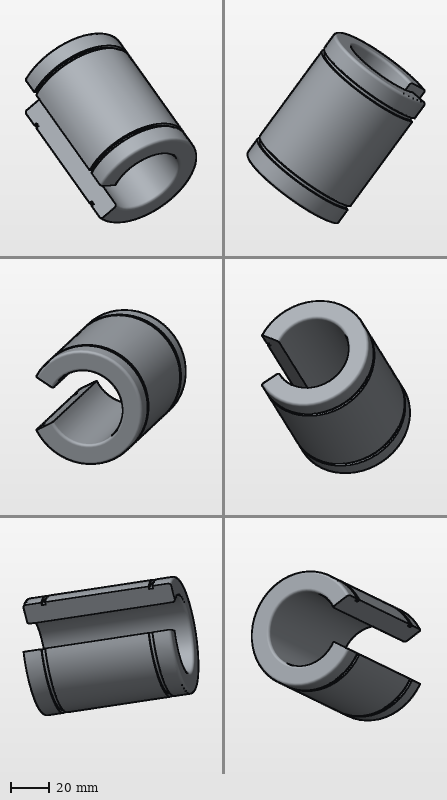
import cadquery as cq
import math

length = 80.0
outer_radius = 62.0 / 2
bore_radius = 40.0 / 2
edge_radius = 1.5

groove_width = 2.1
groove_depth = 1.5
groove_offset = 9.9

opening_half_angle = 30.0
apex_offset = 1.8
opening_reach = 2 * outer_radius


def ring(outer, inner, width, start):
    """Ring about the X axis that begins at x = start."""
    return cq.Workplane("YZ", origin=(start, 0, 0)).circle(outer).circle(inner).extrude(width)


def sleeve():
    """Plain tube with rounded inner and outer edges at both ends."""
    tube = ring(outer_radius, bore_radius, length, -length / 2)
    return tube.faces("<X or >X").edges().fillet(edge_radius)


def retaining_grooves():
    """Two ring grooves, mirrored about the middle of the sleeve."""
    left_start = -length / 2 + groove_offset
    right_start = -left_start - groove_width
    floor_radius = outer_radius - groove_depth
    grooves = cq.Workplane("YZ")
    for start in (left_start, right_start):
        grooves = grooves.add(ring(outer_radius + groove_depth, floor_radius, groove_width, start))
    return grooves.combine()


def opening():
    """Wedge that opens the sleeve along its whole length."""
    half_height = opening_reach * math.tan(math.radians(opening_half_angle))
    mouth_y = -apex_offset - opening_reach
    return (
        cq.Workplane("YZ")
        .polyline([(-apex_offset, 0), (mouth_y, half_height), (mouth_y, -half_height)])
        .close()
        .extrude(length / 2, both=True)
    )


result = sleeve().cut(retaining_grooves()).cut(opening())